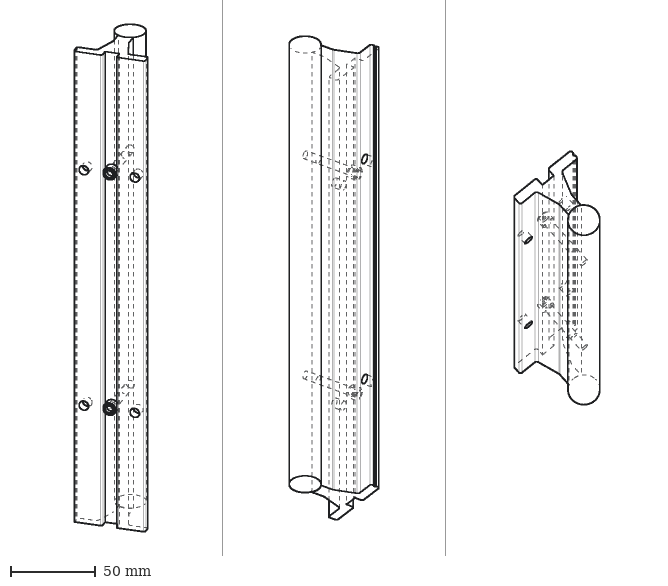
import cadquery as cq
import math

length = 304.8
screw_spacing = length / 2
screw_heights = [(length - screw_spacing) / 2, (length + screw_spacing) / 2]

shaft_diameter = 19.0
shaft_radius = shaft_diameter / 2
shaft_center_y = 38.0
shaft_end_setback = 0.3

base_width = 44.5
base_thickness = 6.5
base_edge_fillet = 1.2
neck_width = 9.5
neck_bottom_y = 21.3
neck_fillet = 3.0
web_foot_width = 19.5
foot_fillet = 1.8

slot_width = 8.8
slot_depth = 5.5
slot_mouth_fillet = 1.2

groove_width = 1.2
groove_depth = 0.5
groove_center_y = base_thickness / 2

mount_hole_diameter = 5.8
mount_hole_spacing = 31.7

head_diameter = 8.0
head_proud = 0.3
head_chamfer = 0.5
shank_diameter = 5.0
shank_end_y = shaft_center_y
socket_diameter = 4.5
socket_depth = 3.0


def y_cylinder(diameter, start_y, end_y, x, z):
    """Cylinder along +Y from start_y to end_y, centred on (x, z)."""
    return cq.Workplane(
        cq.Solid.makeCylinder(
            diameter / 2, end_y - start_y, cq.Vector(x, start_y, z), cq.Vector(0, 1, 0)
        )
    )


def shaft_seat():
    """Round clearance for the shaft over the full length of the rail."""
    return cq.Workplane("XY").center(0, shaft_center_y).circle(shaft_radius).extrude(length)


def base_section():
    """Flat flange with its four long outer edges rounded."""
    return (
        cq.Workplane("XY")
        .rect(base_width, base_thickness)
        .extrude(length)
        .edges("|Z")
        .fillet(base_edge_fillet)
        .translate((0, base_thickness / 2, 0))
    )


def web_section():
    """Tapered web and straight neck, reaching into the shaft seat."""
    half_foot = web_foot_width / 2
    half_neck = neck_width / 2
    neck_top_y = shaft_center_y - math.sqrt(shaft_radius**2 - half_neck**2)
    outline = [
        (-half_foot, base_thickness),
        (half_foot, base_thickness),
        (half_neck, neck_bottom_y),
        (half_neck, neck_top_y),
        (-half_neck, neck_top_y),
        (-half_neck, neck_bottom_y),
    ]
    return cq.Workplane("XY").polyline(outline).close().extrude(length)


def screw_slot():
    """Square slot along the underside of the base."""
    return cq.Workplane("XY").rect(slot_width, 2 * slot_depth).extrude(length)


def marking_groove():
    """Shallow square groove in the middle of the -X edge of the base."""
    return (
        cq.Workplane("XY")
        .center(-base_width / 2, groove_center_y)
        .rect(2 * groove_depth, groove_width)
        .extrude(length)
    )


def fillet_edge_pair(body, half_spacing, y, radius):
    """Round the two lengthwise edges at X = +/- half_spacing and height y."""
    edge_points = [(-half_spacing, y, length / 2), (half_spacing, y, length / 2)]
    for point in edge_points:
        body = body.edges(cq.selectors.NearestToPointSelector(point)).fillet(radius)
    return body


def make_support():
    """Extruded rail with shaft seat, slot, groove and holes."""
    support = base_section().union(web_section())
    support = fillet_edge_pair(support, web_foot_width / 2, base_thickness, foot_fillet)
    support = fillet_edge_pair(support, neck_width / 2, neck_bottom_y, neck_fillet)
    support = support.cut(screw_slot())
    support = fillet_edge_pair(support, slot_width / 2, 0, slot_mouth_fillet)
    support = support.cut(marking_groove()).cut(shaft_seat())
    for z in screw_heights:
        support = support.cut(y_cylinder(shank_diameter, 0, shank_end_y, 0, z))
        for x in (-mount_hole_spacing / 2, mount_hole_spacing / 2):
            support = support.cut(y_cylinder(mount_hole_diameter, 0, base_thickness, x, z))
    return support


def make_shaft():
    """Shaft, slightly short at its lower end, with blind holes for the screw shanks."""
    shaft = (
        cq.Workplane("XY", origin=(0, shaft_center_y, shaft_end_setback))
        .circle(shaft_radius)
        .extrude(length - shaft_end_setback)
    )
    for z in screw_heights:
        shaft = shaft.cut(y_cylinder(shank_diameter, 0, shank_end_y, 0, z))
    return shaft


def make_screw(z):
    """Socket head screw seated on the slot floor."""
    head = y_cylinder(head_diameter, -head_proud, slot_depth, 0, z)
    head = head.faces("<Y").edges().chamfer(head_chamfer)
    socket = y_cylinder(socket_diameter, -head_proud, socket_depth - head_proud, 0, z)
    shank = y_cylinder(shank_diameter, slot_depth, shank_end_y, 0, z)
    return head.union(shank).cut(socket)


support = make_support()
shaft = make_shaft()
screws = [make_screw(z) for z in screw_heights]

result = cq.Compound.makeCompound([support.val(), shaft.val(), *[screw.val() for screw in screws]])